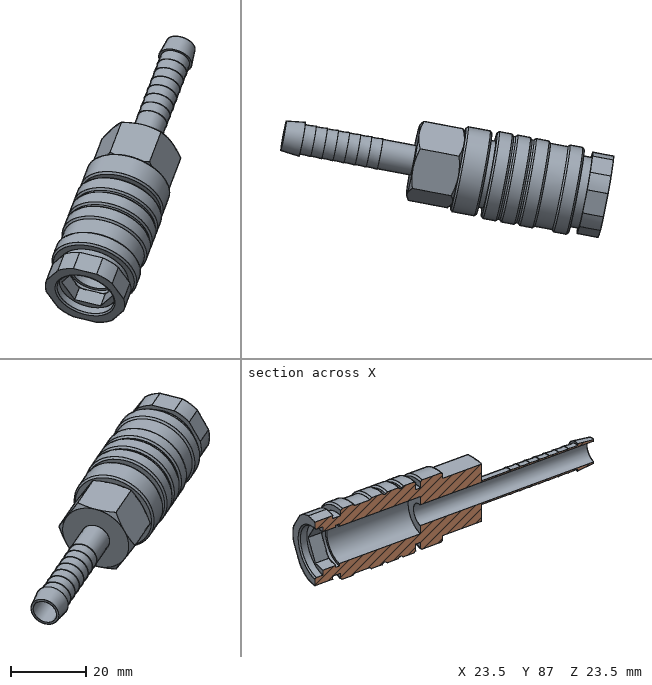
import cadquery as cq
import math


head_dia = 22.0
head_across_flats = 21.05
head_length = 5.65
neck_dia = 19.1

sleeve_start = 8.0
sleeve_end = 31.5
sleeve_dia = 22.45
ring_dia = 23.5
ring_width = 4.4
ring_gap = 0.5
ring_chamfer = (ring_dia - sleeve_dia) / 2
rear_ring_count = 3

rear_neck_dia = 18.1
collar_start = 32.9
collar_end = 39.85
collar_dia = 23.0
collar_chamfer = 0.5

nut_end = 52.0
nut_across_flats = 19.0
nut_chamfer_angle = 30

total_length = 87.0
stem_dia = 8.0
ridge_dia = 8.3
ridge_count = 7
ridges_start = 61.0
tip_barb_start = 81.95
tip_barb_dia = 9.2
ridge_pitch = (tip_barb_start - ridges_start) / ridge_count
ridge_length = ridge_pitch / 2

mouth_dia = 15.75
mouth_depth = 2.4
mouth_chamfer = 0.4
hex_socket_across_flats = 12.4
hex_socket_length = 4.1
undercut_dia = 13.7
undercut_length = 1.05
chamber_dia = 12.1
chamber_end = collar_start
through_dia = 6.7


def hex_corner_dia(across_flats):
    return across_flats / math.cos(math.pi / 6)


def cylinder(diameter, start, end):
    return cq.Workplane("XZ", origin=(0, start, 0)).circle(diameter / 2).extrude(start - end)


def hexagon(across_flats, start, end):
    """Hexagonal bar along Y with two corners on the X axis."""
    plane = cq.Workplane("XZ", origin=(0, start, 0))
    return plane.polygon(6, hex_corner_dia(across_flats)).extrude(start - end)


def turned(profile):
    """Solid of revolution about Y from (radius, y) points."""
    return cq.Workplane("XY").polyline(profile).close().revolve(360, (0, 0, 0), (0, 1, 0))


def chamfered_disc(diameter, start, end, chamfer):
    return cylinder(diameter, start, end).edges("%CIRCLE").chamfer(chamfer)


def make_head():
    flats = hexagon(head_across_flats, 0, head_length)
    return cylinder(head_dia, 0, head_length).intersect(flats)


def make_sleeve():
    sleeve = cylinder(sleeve_dia, sleeve_start, sleeve_end)
    ring_starts = [sleeve_start]
    for index in range(rear_ring_count):
        ring_starts.append(sleeve_end - ring_width - index * (ring_width + ring_gap))
    for start in ring_starts:
        sleeve = sleeve.union(chamfered_disc(ring_dia, start, start + ring_width, ring_chamfer))
    return sleeve


def make_nut():
    """Hexagon whose corners are cut by a cone at each end."""
    flat_radius = nut_across_flats / 2
    corner_radius = hex_corner_dia(nut_across_flats) / 2
    cone_height = (corner_radius - flat_radius) * math.tan(math.radians(nut_chamfer_angle))
    corner_cutter = turned([
        (0, collar_end),
        (flat_radius, collar_end),
        (corner_radius, collar_end + cone_height),
        (corner_radius, nut_end - cone_height),
        (flat_radius, nut_end),
        (0, nut_end),
    ])
    return hexagon(nut_across_flats, collar_end, nut_end).intersect(corner_cutter)


def make_hose_barb():
    """Stem with small tapered ridges, widest toward the nut, and a larger barb at the tip."""
    stem_radius = stem_dia / 2
    profile = [(0, nut_end), (stem_radius, nut_end)]
    for index in range(ridge_count):
        ridge_start = ridges_start + index * ridge_pitch
        profile.append((stem_radius, ridge_start))
        profile.append((ridge_dia / 2, ridge_start))
        profile.append((stem_radius, ridge_start + ridge_length))
    profile.append((stem_radius, tip_barb_start))
    profile.append((tip_barb_dia / 2, tip_barb_start))
    profile.append((stem_radius, total_length))
    profile.append((0, total_length))
    return turned(profile)


def make_passage():
    hex_socket_end = mouth_depth + hex_socket_length
    undercut_end = hex_socket_end + undercut_length
    mouth_radius = mouth_dia / 2
    mouth = turned([
        (0, 0),
        (mouth_radius + mouth_chamfer, 0),
        (mouth_radius, mouth_chamfer),
        (mouth_radius, mouth_depth),
        (0, mouth_depth),
    ])
    hex_socket = hexagon(hex_socket_across_flats, mouth_depth, hex_socket_end)
    undercut = cylinder(undercut_dia, hex_socket_end, undercut_end)
    chamber = cylinder(chamber_dia, undercut_end, chamber_end)
    through_hole = cylinder(through_dia, 0, total_length)
    return mouth.union(hex_socket).union(undercut).union(chamber).union(through_hole)


body = (
    make_head()
    .union(cylinder(neck_dia, head_length, sleeve_start))
    .union(make_sleeve())
    .union(cylinder(rear_neck_dia, sleeve_end, collar_start))
    .union(chamfered_disc(collar_dia, collar_start, collar_end, collar_chamfer))
    .union(make_nut())
    .union(make_hose_barb())
)
result = body.cut(make_passage())